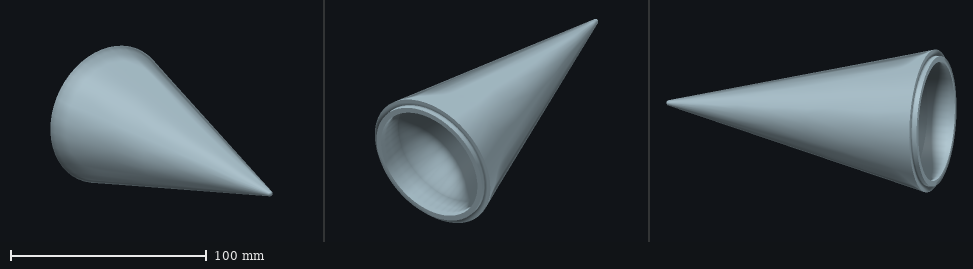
import cadquery as cq

total_length = 144.7
base_radius = 36.6

lip_length = 2.9
lip_radius = 33.5

tip_radius = 1.5
tip_height = 1.3
tip_start = total_length - tip_height

bore_radius = 30.5
bore_depth = 14.6
wall_slope = (base_radius - tip_radius) / (tip_start - lip_length)
cavity_depth = bore_depth + bore_radius / wall_slope


def revolve_about_x(profile):
    return profile.revolve(360, (0, 0, 0), (1, 0, 0))


def outer_body():
    arc_radius = (tip_radius**2 + tip_height**2) / (2 * tip_height)
    arc_mid_x = tip_start + tip_height / 2
    arc_centre_x = total_length - arc_radius
    arc_mid_radius = (arc_radius**2 - (arc_mid_x - arc_centre_x) ** 2) ** 0.5
    profile = (
        cq.Workplane("XZ")
        .lineTo(0, lip_radius)
        .lineTo(lip_length, lip_radius)
        .lineTo(lip_length, base_radius)
        .lineTo(tip_start, tip_radius)
        .threePointArc((arc_mid_x, arc_mid_radius), (total_length, 0))
        .close()
    )
    return revolve_about_x(profile)


def cavity():
    profile = (
        cq.Workplane("XZ")
        .lineTo(0, bore_radius)
        .lineTo(bore_depth, bore_radius)
        .lineTo(cavity_depth, 0)
        .close()
    )
    return revolve_about_x(profile)


result = outer_body().cut(cavity())